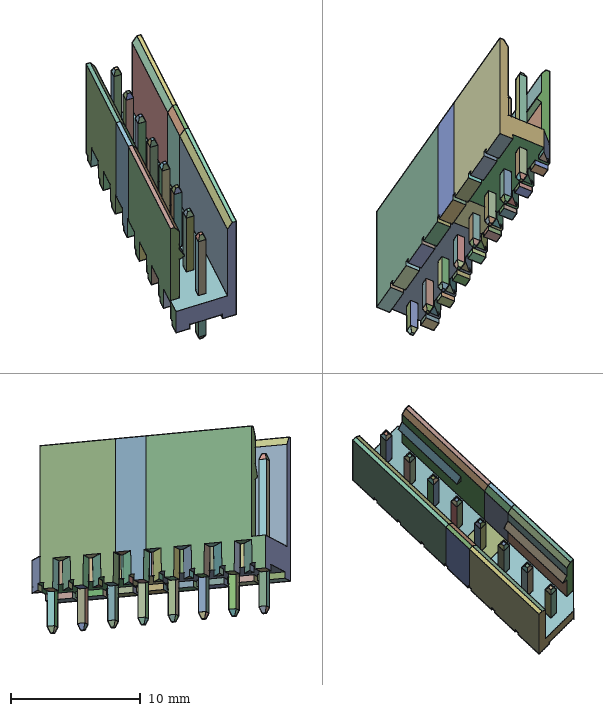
import cadquery as cq

LENGTH = 20.02
DEPTH = 5.0
HEIGHT = 14.3

PIN_COUNT = 8
END_MARGIN = 1.16
PIN_WIDTH = 0.65
PIN_TIP_WIDTH = 0.26
PIN_TIP_LENGTH = 0.5
PIN_TOP = 12.61
PITCH = (LENGTH - 2 * END_MARGIN) / (PIN_COUNT - 1)

FOOT_BOTTOM = 2.96
CHANNEL_TOP = 3.46
SLOT_TOP = 5.33
FLOOR_TOP = 5.57

WALL = 0.75
FOOT_DEPTH = 1.15
LEAD_IN_DEPTH = 0.4
LEAD_IN_HEIGHT = 0.66

RIDGE_REACH = 0.45
RIDGE_BOTTOM = 10.23
RIDGE_PEAK = 10.5
RIDGE_TOP = 11.47

SLOT_WIDTH = 1.42
SLOT_DEPTH = 1.12
SLOT_DRAFT = 1.0
PIN_NOTCH_WIDTH = 0.6

LEFT_PINS = 3
MIDDLE_PINS = 1
RIGHT_RIDGE_START_PIN = 4

LEFT = -LENGTH / 2
RIGHT = LENGTH / 2
FRONT = -DEPTH / 2
BACK = DEPTH / 2
WALL_INNER = FRONT + WALL

pin_xs = [LEFT + END_MARGIN + i * PITCH for i in range(PIN_COUNT)]


def midway_after(pin_index):
    """X halfway between a pin and the next one."""
    return pin_xs[pin_index] + PITCH / 2


def extrude_along_x(outline, x_start, x_end):
    """Sweep a (y, z) outline from x_start to x_end."""
    plane = cq.Workplane("YZ", origin=(x_start, 0, 0))
    return plane.polyline(outline).close().extrude(x_end - x_start)


def box_between(x_range, y_range, z_range):
    corner = (x_range[0], y_range[0], z_range[0])
    size = (x_range[1] - x_range[0], y_range[1] - y_range[0], z_range[1] - z_range[0])
    return cq.Workplane("XY").box(*size, centered=False).translate(corner)


def base_and_back_wall(x_start, x_end):
    """Floor on two feet, with the bevelled back wall."""
    outline = [
        (FRONT, FOOT_BOTTOM),
        (FRONT + FOOT_DEPTH, FOOT_BOTTOM),
        (FRONT + FOOT_DEPTH, CHANNEL_TOP),
        (BACK - FOOT_DEPTH, CHANNEL_TOP),
        (BACK - FOOT_DEPTH, FOOT_BOTTOM),
        (BACK, FOOT_BOTTOM),
        (BACK, HEIGHT),
        (BACK - WALL + LEAD_IN_DEPTH, HEIGHT),
        (BACK - WALL, HEIGHT - LEAD_IN_HEIGHT),
        (BACK - WALL, FLOOR_TOP),
        (FRONT, FLOOR_TOP),
    ]
    return extrude_along_x(outline, x_start, x_end)


def front_wall(x_start, x_end):
    outline = [
        (FRONT, FLOOR_TOP),
        (WALL_INNER, FLOOR_TOP),
        (WALL_INNER, HEIGHT - LEAD_IN_HEIGHT),
        (WALL_INNER - LEAD_IN_DEPTH, HEIGHT),
        (FRONT, HEIGHT),
    ]
    return extrude_along_x(outline, x_start, x_end)


def latch_ridge(x_start, x_end):
    outline = [
        (WALL_INNER, RIDGE_BOTTOM),
        (WALL_INNER + RIDGE_REACH, RIDGE_PEAK),
        (WALL_INNER, RIDGE_TOP),
    ]
    return extrude_along_x(outline, x_start, x_end)


def corner_cut():
    """Prism that takes the front left corner off the base at 45 degrees."""
    outline = [(LEFT, FRONT), (LEFT + END_MARGIN, FRONT), (LEFT, FRONT + END_MARGIN)]
    return cq.Workplane("XY").polyline(outline).close().extrude(FLOOR_TOP)


def foot_slot(pin_x):
    """Drafted slot left of a pin, with one side at 45 degrees that meets the front at the pin axis."""
    slot_back = FRONT + SLOT_DEPTH
    outline = [
        (pin_x - SLOT_WIDTH, FRONT - SLOT_DEPTH),
        (pin_x + SLOT_DEPTH, FRONT - SLOT_DEPTH),
        (pin_x - SLOT_DEPTH, slot_back),
        (pin_x - SLOT_WIDTH, slot_back),
    ]
    plane = cq.Workplane("XY", origin=(0, 0, SLOT_TOP))
    return plane.polyline(outline).close().extrude(-SLOT_TOP, taper=-SLOT_DRAFT)


def back_foot_gap(pin_x):
    """Gap in the back foot in line with the flat end of the front slot."""
    return box_between(
        (pin_x - SLOT_WIDTH, pin_x - SLOT_DEPTH), (BACK - FOOT_DEPTH, BACK), (FOOT_BOTTOM, CHANNEL_TOP)
    )


def pin_notch(pin_x):
    """Notch through the front foot, in front of a pin."""
    half = PIN_NOTCH_WIDTH / 2
    return box_between(
        (pin_x - half, pin_x + half), (FRONT, FRONT + FOOT_DEPTH), (FOOT_BOTTOM, CHANNEL_TOP)
    )


def pin(pin_x):
    """Square pin with a pyramid tip at each end."""
    shank_bottom = PIN_TIP_LENGTH
    shank_top = PIN_TOP - PIN_TIP_LENGTH

    def square_at(z, width):
        return cq.Workplane("XY", origin=(pin_x, 0, z)).rect(width, width)

    shank = square_at(shank_bottom, PIN_WIDTH).extrude(shank_top - shank_bottom)
    upper_tip = square_at(shank_top, PIN_WIDTH).workplane(offset=PIN_TIP_LENGTH)
    upper_tip = upper_tip.rect(PIN_TIP_WIDTH, PIN_TIP_WIDTH).loft()
    lower_tip = square_at(0, PIN_TIP_WIDTH).workplane(offset=PIN_TIP_LENGTH)
    lower_tip = lower_tip.rect(PIN_WIDTH, PIN_WIDTH).loft()
    return shank.union(upper_tip).union(lower_tip)


def header_section(base_range, wall_range, section_pin_xs):
    """One length of the header: base, both walls and the pins that are solid with it."""
    section = base_and_back_wall(*base_range).union(front_wall(*wall_range))
    for x in pin_xs[1:]:
        section = section.cut(foot_slot(x)).cut(back_foot_gap(x))
    for x in section_pin_xs:
        section = section.cut(pin_notch(x)).union(pin(x))
    return section


left_joint = midway_after(LEFT_PINS - 1)
right_joint = midway_after(LEFT_PINS + MIDDLE_PINS - 1)

left_section = header_section(
    (LEFT, left_joint), (pin_xs[0], left_joint), pin_xs[:LEFT_PINS]
)
left_section = left_section.union(latch_ridge(pin_xs[0], left_joint))
left_section = left_section.cut(corner_cut())

middle_section = header_section(
    (left_joint, right_joint), (left_joint, right_joint), pin_xs[LEFT_PINS:LEFT_PINS + MIDDLE_PINS]
)

right_section = header_section(
    (right_joint, RIGHT), (right_joint, pin_xs[-1]), pin_xs[LEFT_PINS + MIDDLE_PINS:]
)
right_section = right_section.union(latch_ridge(midway_after(RIGHT_RIDGE_START_PIN), pin_xs[-1]))

sections = [left_section, middle_section, right_section]
result = cq.Compound.makeCompound([section.solids().val() for section in sections])